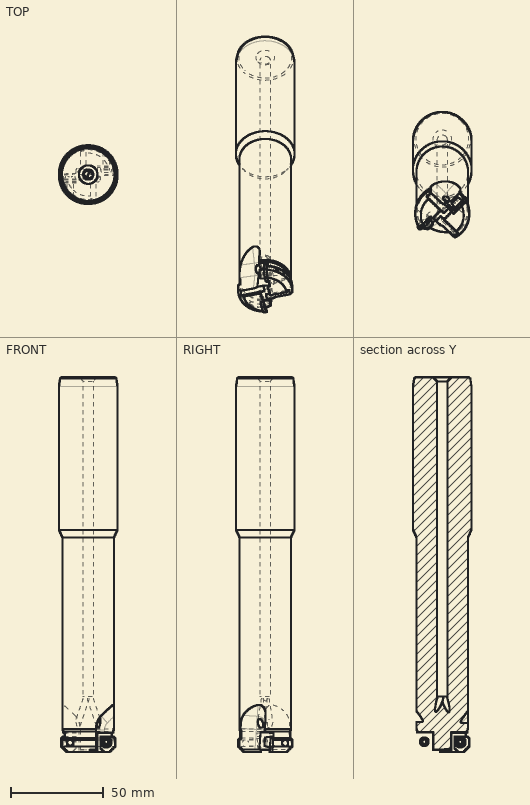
import cadquery as cq
import math

total_length = 202.08
flute_count = 2
axial_rake = 4.0

shank_radius = 31.75 / 2
shank_bottom_z = 119.8
cap_bottom_z = 197.0
cap_radius = 15.2
end_chamfer_height = 0.7
end_face_radius = 14.2

neck_radius = 13.9
neck_top_z = 115.6
neck_bottom_z = 12.4
groove_radius = 13.5
groove_top_z = 11.2
groove_bottom_z = 7.6

collar_radius = 14.6
collar_top_z = 6.6
lead_size = 3.0
tip_radius = collar_radius - lead_size

countersink_diameter = 10.0
countersink_angle = 90.0
coolant_bore_diameter = 5.5
coolant_bore_bottom_z = 30.0
coolant_branch_diameter = 3.2
coolant_branch_start_z = 32.0
coolant_exit = cq.Vector(5.2, -2.4, 16.7)

flute_wall_x = 4.25
flute_wall_top_z = 11.9
flute_bend_radius = 10.0
flute_runout_angle = 45.0
flute_floor_fillet = 4.5
flute_pivot_z = 16.0
cut_reach = 30.0

pocket_wall_x = 4.9
pocket_roof_z = 10.3
pocket_front_y = -4.3
seat_y = 3.85
end_slot_width = 4.8
end_slot_depth = 1.2
end_gash_x = 1.2
end_gash_depth = 1.5

insert_thickness = 1.5
insert_inner_x = 6.7
insert_top_z = 8.3
insert_top_corner = 1.0
insert_inner_corner = 1.9
screw_x = 9.7
screw_z = 5.3
screw_hole_diameter = 3.6
hub_base_diameter = 5.8
hub_top_diameter = 4.6
hub_height = 3.1
socket_across_corners = 2.6
socket_depth = 1.5


def tilt(shape, pivot_y, pivot_z):
    """Lean a shape by the axial rake about a line parallel to X."""
    return shape.rotate((0, pivot_y, pivot_z), (1, pivot_y, pivot_z), -axial_rake)


def around_tool(shape):
    """One copy of a shape per flute, spaced evenly about the tool axis."""
    pitch = 360.0 / flute_count
    return [shape.rotate((0, 0, 0), (0, 0, 1), index * pitch) for index in range(flute_count)]


def make_blank():
    """Turned outline of the whole tool, revolved about Z."""
    outline = [
        (0, 0),
        (tip_radius, 0),
        (collar_radius, lead_size),
        (collar_radius, collar_top_z),
        (groove_radius, groove_bottom_z),
        (groove_radius, groove_top_z),
        (neck_radius, neck_bottom_z),
        (neck_radius, neck_top_z),
        (shank_radius, shank_bottom_z),
        (shank_radius, cap_bottom_z),
        (cap_radius, total_length - end_chamfer_height),
        (end_face_radius, total_length),
        (0, total_length),
    ]
    return cq.Workplane("XZ").polyline(outline).close().revolve(360, (0, 0), (0, 1))


def make_flute():
    """Chip space: upright wall, round bend and sloped run-out, with a filleted floor."""
    angle = math.radians(flute_runout_angle)
    bend_center_x = flute_wall_x + flute_bend_radius

    def bend_point(turn):
        x = bend_center_x - flute_bend_radius * math.cos(turn)
        z = flute_wall_top_z + flute_bend_radius * math.sin(turn)
        return x, z

    bend_end_x, bend_end_z = bend_point(angle)
    runout_end_z = bend_end_z + (cut_reach - bend_end_x) / math.tan(angle)
    flute = (
        cq.Workplane("XZ")
        .moveTo(flute_wall_x, -cut_reach)
        .lineTo(flute_wall_x, flute_wall_top_z)
        .threePointArc(bend_point(angle / 2), (bend_end_x, bend_end_z))
        .lineTo(cut_reach, runout_end_z)
        .lineTo(cut_reach, -cut_reach)
        .close()
        .extrude(cut_reach)
    )
    margin = 1.0
    wall_foot = cq.selectors.BoxSelector(
        (flute_wall_x - margin, -margin, margin - cut_reach),
        (cut_reach - margin, margin, runout_end_z),
    )
    flute = flute.edges(wall_foot).fillet(flute_floor_fillet)
    return tilt(flute, 0, flute_pivot_z)


def make_insert_pocket():
    """Recess that seats the insert and clears the foot of the flute beside it."""
    pocket = cq.Workplane("XY").box(
        cut_reach - pocket_wall_x,
        seat_y - pocket_front_y,
        pocket_roof_z + cut_reach,
        centered=False,
    )
    return tilt(pocket.translate((pocket_wall_x, pocket_front_y, -cut_reach)), seat_y, 0)


def make_end_gash():
    """Shallow step across the end face, leading from the middle of the tool into the flute."""
    gash = cq.Workplane("XY").box(cut_reach, cut_reach, end_gash_depth, centered=False)
    return gash.translate((end_gash_x, -cut_reach, 0))


def make_screw_hole():
    """Clamping screw hole running square to the seat and out through the collar."""
    hole = (
        cq.Workplane("XZ", origin=(0, seat_y, 0))
        .center(screw_x, screw_z)
        .circle(screw_hole_diameter / 2)
        .extrude(-cut_reach)
    )
    return tilt(hole, seat_y, 0)


def make_coolant_branch():
    """Slanted hole from the central bore to the wall of the flute."""
    start = cq.Vector(0, 0, coolant_branch_start_z)
    direction = coolant_exit - start
    branch = cq.Solid.makeCylinder(
        coolant_branch_diameter / 2,
        direction.Length + coolant_branch_diameter,
        start,
        direction,
    )
    return cq.Workplane(obj=branch)


def make_holder():
    """Turned blank with its coolant bore, end slot and one set of cuts per flute."""
    holder = make_blank()
    holder = holder.faces(">Z").workplane().cskHole(
        coolant_bore_diameter,
        countersink_diameter,
        countersink_angle,
        total_length - coolant_bore_bottom_z,
    )
    end_slot = cq.Workplane("XY").box(2 * cut_reach, end_slot_width, 2 * end_slot_depth)
    holder = holder.cut(end_slot)
    flute_cuts = (
        make_flute(),
        make_insert_pocket(),
        make_end_gash(),
        make_screw_hole(),
        make_coolant_branch(),
    )
    for feature in flute_cuts:
        for cutter in around_tool(feature):
            holder = holder.cut(cutter)
    return holder


def make_insert():
    """Indexable insert with its 45 degree lead edge and a raised, socketed clamping hub."""
    outline = [
        (insert_inner_x + insert_inner_corner, 0),
        (tip_radius, 0),
        (collar_radius, lead_size),
        (collar_radius, insert_top_z - insert_top_corner),
        (collar_radius - insert_top_corner, insert_top_z),
        (insert_inner_x, insert_top_z),
        (insert_inner_x, insert_inner_corner),
    ]
    insert = (
        cq.Workplane("XZ", origin=(0, seat_y, 0))
        .polyline(outline)
        .close()
        .extrude(insert_thickness)
    )
    rake_face_y = seat_y - insert_thickness
    hub = (
        cq.Workplane("XZ", origin=(screw_x, rake_face_y, screw_z))
        .circle(hub_base_diameter / 2)
        .workplane(offset=hub_height)
        .circle(hub_top_diameter / 2)
        .loft()
    )
    socket = (
        cq.Workplane("XZ", origin=(screw_x, rake_face_y - hub_height, screw_z))
        .polygon(6, socket_across_corners)
        .extrude(-socket_depth)
    )
    return tilt(insert.union(hub).cut(socket), seat_y, 0)


holder = make_holder()
inserts = around_tool(make_insert())
result = cq.Compound.makeCompound([holder.val(), *[insert.val() for insert in inserts]])